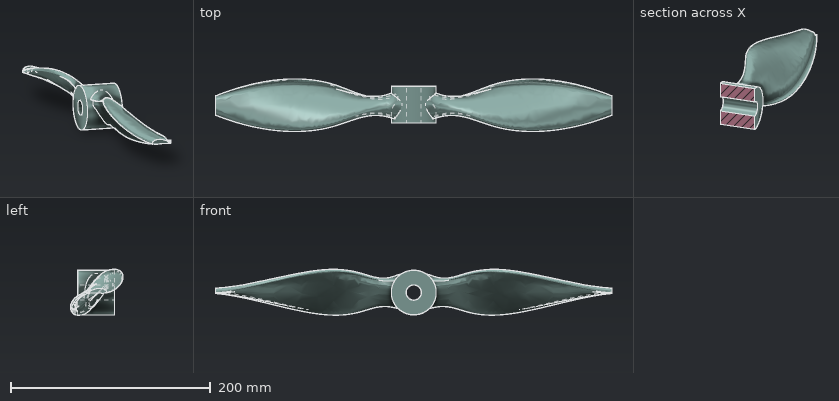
import cadquery as cq
import math

HUB_RADIUS = 22.5
HUB_FRONT_Y = -17.5
HUB_BACK_Y = 19.5
BORE_RADIUS = 7.5

PROPELLER_DIAMETER = 397.5
ROOT_X = 12.0
TIP_X = PROPELLER_DIAMETER / 2

STATIONS = [
    (ROOT_X, 38.0, 27.5, 58.0, 0.35),
    (23.0, 32.5, 18.5, 62.0, 0.35),
    (35.0, 31.5, 13.0, 67.0, 0.35),
    (55.0, 44.5, 10.0, 63.0, 0.55),
    (80.0, 60.0, 10.5, 49.0, 0.8),
    (112.0, 63.0, 9.8, 36.3, 0.8),
    (140.0, 55.0, 8.7, 26.5, 0.8),
    (170.0, 39.6, 6.5, 15.7, 0.8),
    (188.0, 27.5, 5.3, 8.8, 0.8),
    (TIP_X, 19.3, 4.4, 5.0, 0.8),
]
NOSE_FULLNESS = 0.7
SIDE_STEPS = 8


def section_point(chord, thickness, pitch, airfoil, angle):
    """Point (y, z) of a blade section; the leading edge faces -Y and +Z."""
    sine = math.sin(angle)
    nose = 1 + NOSE_FULLNESS * airfoil * math.cos(angle)
    along = chord / 2 * math.cos(angle)
    across = thickness / 2 * (sine * nose + airfoil * sine**2)
    tilt = math.radians(pitch)
    y = -along * math.cos(tilt) + across * math.sin(tilt)
    z = along * math.sin(tilt) + across * math.cos(tilt)
    return y, z


def section_side(station, start_angle):
    """Spline over half of a section, square to the chord at both blade edges."""
    x, chord, thickness, pitch, airfoil = station
    points = []
    for i in range(SIDE_STEPS + 1):
        angle = start_angle + math.pi * i / SIDE_STEPS
        y, z = section_point(chord, thickness, pitch, airfoil, angle)
        points.append(cq.Vector(x, y, z))
    tilt = math.radians(pitch)
    square = cq.Vector(0, math.sin(tilt), math.cos(tilt)) * math.cos(start_angle)
    return cq.Edge.makeSpline(points, tangents=[square, -square])


def section_wire(station):
    """Closed blade outline: back side from leading to trailing edge, then the face."""
    return cq.Wire.assembleEdges([section_side(station, 0), section_side(station, math.pi)])


def make_blade():
    """Twisted blade on the +X side, lofted through its stations."""
    return cq.Workplane(cq.Solid.makeLoft([section_wire(station) for station in STATIONS]))


def hub_cylinder(radius):
    """Cylinder about the Y axis over the length of the hub."""
    length = HUB_BACK_Y - HUB_FRONT_Y
    return cq.Workplane("XZ", origin=(0, HUB_BACK_Y, 0)).circle(radius).extrude(length)


blade = make_blade()
opposite_blade = blade.mirror("YZ")
result = hub_cylinder(HUB_RADIUS).union(blade).union(opposite_blade).cut(hub_cylinder(BORE_RADIUS))